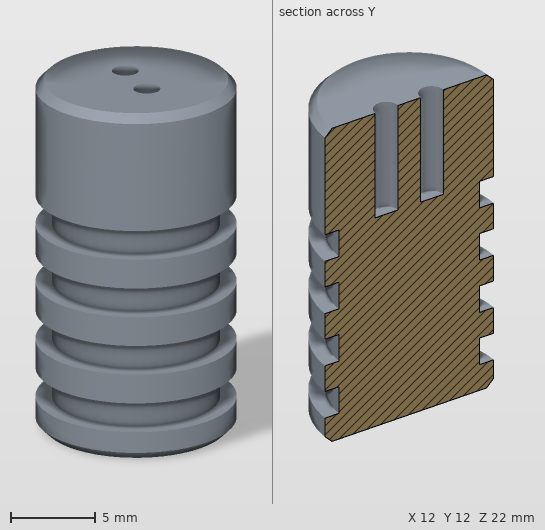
import cadquery as cq

height = 22.0
outer_diameter = 12.0
chamfer = 0.5

groove_diameter = 10.0
groove_count = 4
groove_width = height / 12
groove_pitch = 2 * groove_width
first_groove_bottom = groove_width

hole_diameter = 1.6
hole_spacing = 2 * hole_diameter
hole_depth = height / 3


def make_body():
    """Cylinder with chamfered ends."""
    cylinder = cq.Workplane("XY").circle(outer_diameter / 2).extrude(height)
    return cylinder.faces("<Z or >Z").edges().chamfer(chamfer)


def make_groove(bottom):
    """Ring of material to remove, starting at the given height."""
    return (
        cq.Workplane("XY", origin=(0, 0, bottom))
        .circle(outer_diameter / 2)
        .circle(groove_diameter / 2)
        .extrude(groove_width)
    )


def make_holes():
    """Two flat-bottomed holes side by side along X."""
    return (
        cq.Workplane("XY", origin=(0, 0, height))
        .pushPoints([(-hole_spacing / 2, 0), (hole_spacing / 2, 0)])
        .circle(hole_diameter / 2)
        .extrude(-hole_depth)
    )


result = make_body()
for index in range(groove_count):
    result = result.cut(make_groove(first_groove_bottom + index * groove_pitch))
result = result.cut(make_holes())